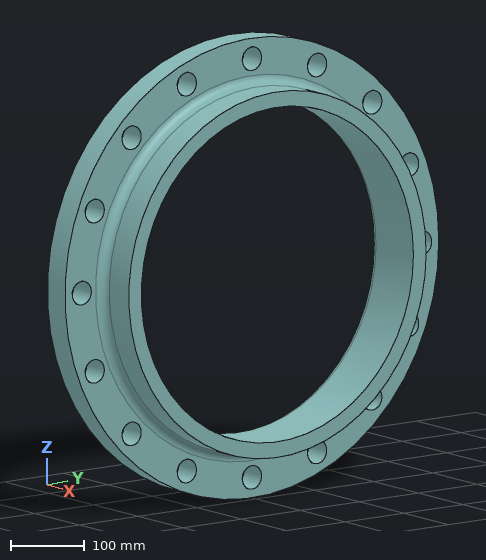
import cadquery as cq

flange_diameter = 635.0
flange_thickness = 40.0

total_length = 97.0
hub_diameter = 505.0
bore_diameter = 461.5
hub_fillet = 13.5
bore_entry_radius = 13.5

bolt_count = 16
bolt_circle_diameter = 578.0
bolt_hole_diameter = 32.5


def disc(diameter, length):
    """Solid cylinder along +X, starting at the flange face."""
    return cq.Workplane("YZ").circle(diameter / 2).extrude(length)


def make_body():
    """Flange and hub, filleted where they meet."""
    body = disc(flange_diameter, flange_thickness).union(disc(hub_diameter, total_length))
    root_edge = cq.selectors.RadiusNthSelector(0)
    return body.faces("<X[1]").edges(root_edge).fillet(hub_fillet)


def cut_bore(body):
    """Through bore with a rounded entry on the flange face."""
    bored = body.cut(disc(bore_diameter, total_length))
    entry_edge = cq.selectors.RadiusNthSelector(0)
    return bored.faces("<X").edges(entry_edge).fillet(bore_entry_radius)


def bolt_holes():
    """Ring of cylinders for the bolt holes, one of them on the Y axis."""
    return (
        cq.Workplane("YZ")
        .polarArray(bolt_circle_diameter / 2, 0, 360, bolt_count)
        .circle(bolt_hole_diameter / 2)
        .extrude(flange_thickness)
    )


result = cut_bore(make_body()).cut(bolt_holes())